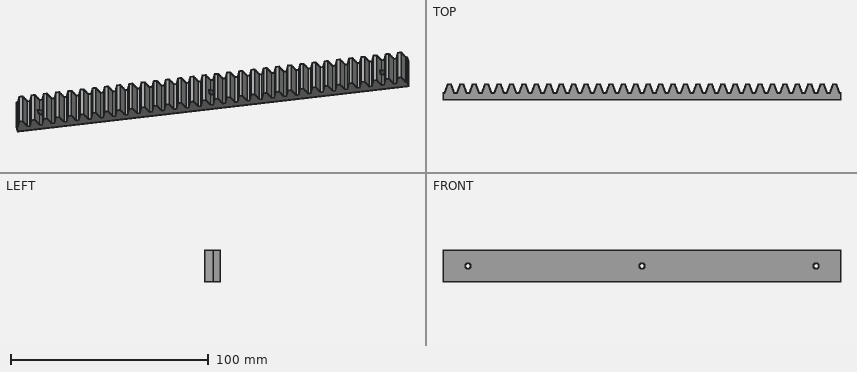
import math

import cadquery as cq

module = 2.0
tooth_count = 32
pressure_angle = math.radians(20)
addendum = module
dedendum = 1.25 * module

pitch = math.pi * module
length = tooth_count * pitch
height = 16.0
thickness = 8.0

first_tooth_center = pitch / 2

hole_diameter = 2.7
hole_spacing = 88.0

tip_level = thickness
pitch_level = tip_level - addendum
root_level = pitch_level - dedendum


def flank_half_width(level):
    """Half the tooth width at a given level above the back of the bar."""
    return pitch / 4 - (level - pitch_level) * math.tan(pressure_angle)


def tooth_outline(center):
    """Corner points of one straight-sided tooth, from left root to right root."""
    root_half = flank_half_width(root_level)
    tip_half = flank_half_width(tip_level)
    return [
        (center - root_half, root_level),
        (center - tip_half, tip_level),
        (center + tip_half, tip_level),
        (center + root_half, root_level),
    ]


def make_rack():
    """Bar with teeth along its +Y side, standing on Z = 0."""
    outline = [(0, 0), (0, root_level)]
    for index in range(tooth_count):
        outline += tooth_outline(first_tooth_center + index * pitch)
    outline += [(length, root_level), (length, 0)]
    return cq.Workplane("XY").polyline(outline).close().extrude(height)


def make_holes():
    """Three round cutters at mid height, centred along the bar."""
    hole_centers = [(length / 2 + step * hole_spacing, height / 2) for step in (-1, 0, 1)]
    return (
        cq.Workplane("XZ")
        .pushPoints(hole_centers)
        .circle(hole_diameter / 2)
        .extrude(-thickness)
    )


result = make_rack().cut(make_holes())